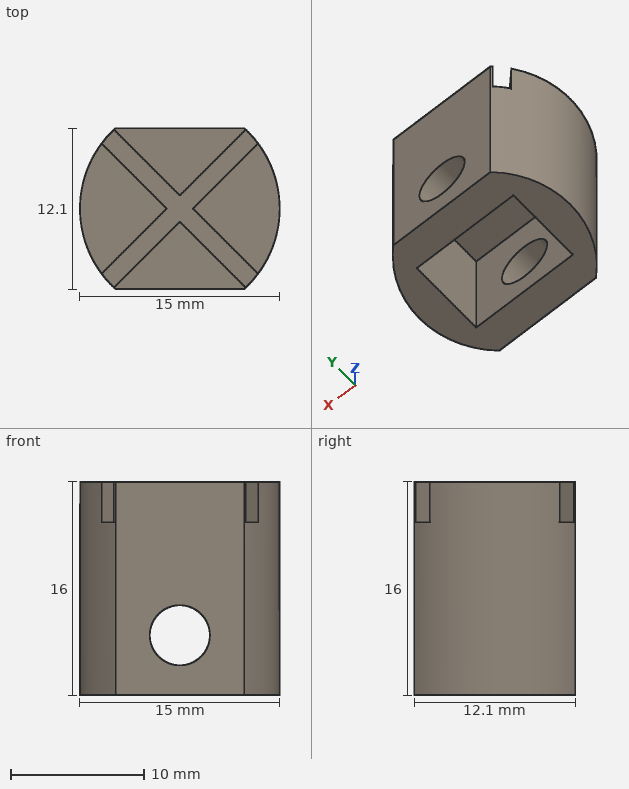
import cadquery as cq

height = 16.0
body_width = 15.0
body_depth = 12.1
flat_length = 9.63

slot_width = 1.4
slot_depth = 3.0
slot_angles = (45, -45)

hole_diameter = 4.5
hole_height = 4.5

pocket_width = 9.6
pocket_length = 6.8
pocket_depth = 10.0


def make_body():
    """Extrude the outline: two flats joined by bulging round sides."""
    half_flat = flat_length / 2
    half_depth = body_depth / 2
    half_width = body_width / 2
    return (
        cq.Workplane("XY")
        .moveTo(-half_flat, -half_depth)
        .lineTo(half_flat, -half_depth)
        .threePointArc((half_width, 0), (half_flat, half_depth))
        .lineTo(-half_flat, half_depth)
        .threePointArc((-half_width, 0), (-half_flat, -half_depth))
        .close()
        .extrude(height)
    )


def make_slot(angle):
    """Return the cutter for one slot running right across the top face."""
    slot_length = 2 * body_width
    return (
        cq.Workplane("XY")
        .workplane(offset=height - slot_depth)
        .rect(slot_length, slot_width)
        .extrude(slot_depth)
        .rotate((0, 0, 0), (0, 0, 1), angle)
    )


def make_cross_hole():
    """Return the cutter for the hole along Y through both flats."""
    return (
        cq.Workplane("XZ")
        .center(0, hole_height)
        .circle(hole_diameter / 2)
        .extrude(body_depth, both=True)
    )


def make_pocket():
    """Return the cutter for the blind pocket rising from the bottom face."""
    return cq.Workplane("XY").rect(pocket_width, pocket_length).extrude(pocket_depth)


crossed_slots = cq.Workplane("XY")
for slot_angle in slot_angles:
    crossed_slots = crossed_slots.union(make_slot(slot_angle))

result = make_body().cut(make_cross_hole()).cut(make_pocket()).cut(crossed_slots)